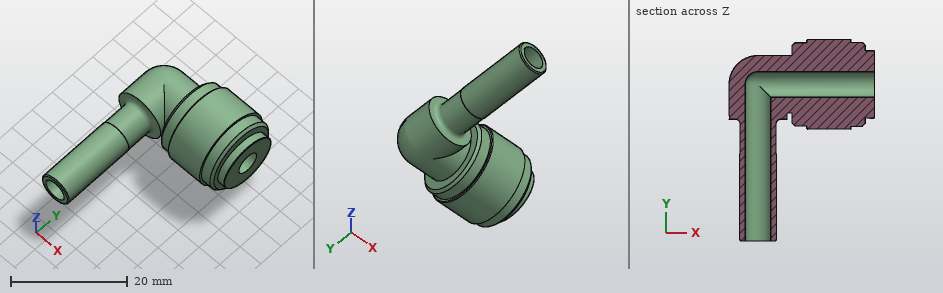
import cadquery as cq

elbow_radius = 5.0
barrel_length = 6.0
bore_radius = 2.2

neck_radius = 3.13
neck_end = 12.0
neck_fillet = 0.85
stem_radius = 3.2
stem_end = 27.0
stem_tip_chamfer = 0.2

body_start = 5.85
grip_start = 8.37
grip_end = 16.02
body_end = 18.52
collar_end = 20.1

front_band_radius = 7.2
grip_radius = 7.75
rear_band_radius = 7.25
band_chamfer = 0.52
grip_chamfer = 0.17

collar_half_width = 5.85
collar_half_height = elbow_radius
collar_chamfer = 0.1


def cylinder_x(start, end, radius):
    """Cylinder about the X axis between two X stations."""
    return cq.Workplane("YZ", origin=(start, 0, 0)).circle(radius).extrude(end - start)


def cylinder_y(start, end, radius):
    """Cylinder about the Y axis between two distances toward -Y."""
    return cq.Workplane("XZ", origin=(0, -start, 0)).circle(radius).extrude(end - start)


def rounded_elbow(radius, x_end, y_end):
    """Two equal cylinders meeting at a spherical corner."""
    corner = cq.Workplane("XY").sphere(radius)
    return corner.union(cylinder_x(0, x_end, radius)).union(cylinder_y(0, y_end, radius))


def make_stem():
    """Necked tube stem with a flared root and a chamfered tip."""
    flare_end = barrel_length + neck_fillet
    flare_radius = neck_radius + neck_fillet
    profile = (
        cq.Workplane("XY")
        .moveTo(0, 0)
        .lineTo(neck_radius, 0)
        .lineTo(neck_radius, -barrel_length)
        .lineTo(flare_radius, -barrel_length)
        .radiusArc((neck_radius, -flare_end), -neck_fillet)
        .lineTo(neck_radius, -neck_end)
        .lineTo(stem_radius, -neck_end)
        .lineTo(stem_radius, -(stem_end - stem_tip_chamfer))
        .lineTo(stem_radius - stem_tip_chamfer, -stem_end)
        .lineTo(0, -stem_end)
        .close()
    )
    return profile.revolve(360, (0, 0, 0), (0, 1, 0))


def make_body():
    """Stepped round body with a raised grip band."""
    front_band = cylinder_x(body_start, grip_start, front_band_radius)
    front_band = front_band.faces("<X").chamfer(band_chamfer)
    grip = cylinder_x(grip_start, grip_end, grip_radius).faces("<X").chamfer(grip_chamfer)
    rear_band = cylinder_x(grip_end, body_end, rear_band_radius)
    rear_band = rear_band.faces(">X").chamfer(band_chamfer)
    return front_band.union(grip).union(rear_band)


def make_collar():
    """Oval collar, wider along Y than along Z."""
    outline = cq.Workplane("YZ", origin=(body_end, 0, 0)).ellipse(collar_half_width, collar_half_height)
    return outline.extrude(collar_end - body_end).faces(">X").chamfer(collar_chamfer)


elbow = rounded_elbow(elbow_radius, body_start, barrel_length)
fitting = elbow.union(make_stem()).union(make_body()).union(make_collar())
bore = rounded_elbow(bore_radius, collar_end, stem_end)
result = fitting.cut(bore)